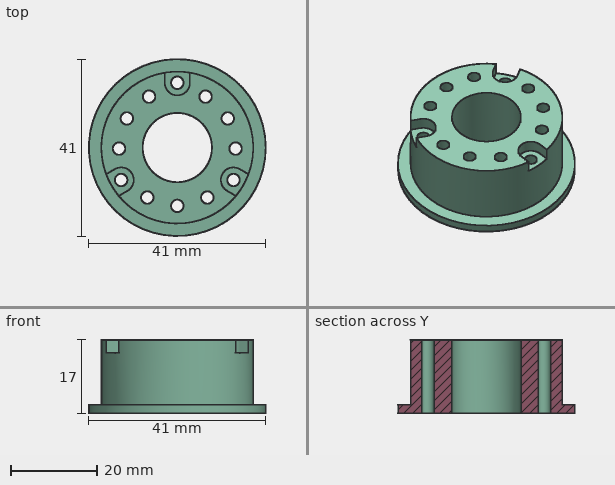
import cadquery as cq
import math

flange_diameter = 41.0
flange_thickness = 2.0
total_height = 17.0
body_diameter = 35.18
bore_diameter = 16.0

hole_diameter = 2.83
hole_circle_radius = 13.5
right_hole_angles = [-59, -1, 30, 61]
left_hole_angles = [180 - angle for angle in right_hole_angles]
hole_angles = [-90] + right_hole_angles + left_hole_angles

notch_width = 5.82
notch_depth = 3.0
notch_circle_radius = 15.0
notch_angles = [90, 210, 330]


def polar_points(radius, angles):
    """Points on a circle at the given angles in degrees."""
    return [
        (radius * math.cos(math.radians(angle)), radius * math.sin(math.radians(angle)))
        for angle in angles
    ]


def notch_cutter(angle):
    """Slot with a round inner end, open outward through the body wall."""
    length = flange_diameter / 2 - notch_circle_radius
    round_end = (
        cq.Workplane("XY")
        .center(notch_circle_radius, 0)
        .circle(notch_width / 2)
        .extrude(notch_depth)
    )
    channel = (
        cq.Workplane("XY")
        .center(notch_circle_radius + length / 2, 0)
        .rect(length, notch_width)
        .extrude(notch_depth)
    )
    cutter = round_end.union(channel)
    return cutter.translate((0, 0, total_height - notch_depth)).rotate((0, 0, 0), (0, 0, 1), angle)


flange = cq.Workplane("XY").circle(flange_diameter / 2).extrude(flange_thickness)
body = cq.Workplane("XY").circle(body_diameter / 2).extrude(total_height)
result = flange.union(body)

for notch_angle in notch_angles:
    result = result.cut(notch_cutter(notch_angle))

bore = cq.Workplane("XY").circle(bore_diameter / 2).extrude(total_height)
hole_centres = polar_points(hole_circle_radius, hole_angles)
hole_centres += polar_points(notch_circle_radius, notch_angles)
holes = cq.Workplane("XY").pushPoints(hole_centres).circle(hole_diameter / 2).extrude(total_height)
result = result.cut(bore).cut(holes)